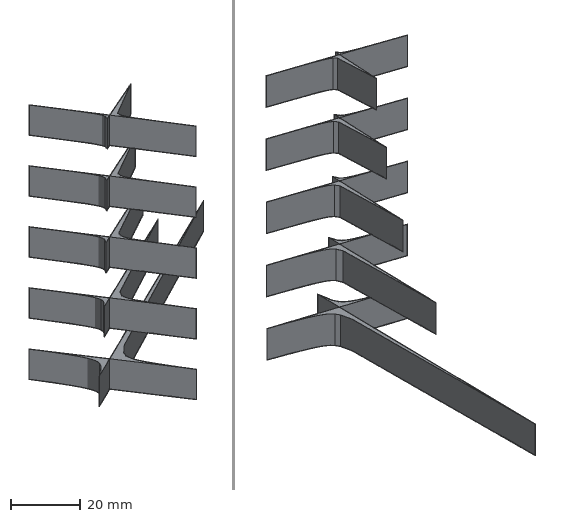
import cadquery as cq

body_count = 5
body_height = 10.0
pitch = 2 * body_height

sample_step = 1.0
steps_each_way = 25
spike_x = 0.1
base_strength = 10.0

neck_offset = 0.01


def hyperbola_points(strength, first_step, last_step):
    """Samples of the hyperbola, counted in steps from the spike, from left to right."""
    xs = [spike_x + step * sample_step for step in range(first_step, last_step + 1)]
    return [(x, strength / x) for x in xs]


def line_crossing(start_a, end_a, start_b, end_b):
    """Point where the line through start_a and end_a crosses the line through start_b and end_b."""
    ax, ay = end_a[0] - start_a[0], end_a[1] - start_a[1]
    bx, by = end_b[0] - start_b[0], end_b[1] - start_b[1]
    gap_x, gap_y = start_b[0] - start_a[0], start_b[1] - start_a[1]
    fraction = (gap_x * by - gap_y * bx) / (ax * by - ay * bx)
    return start_a[0] + fraction * ax, start_a[1] + fraction * ay


def hyperbola_body(number):
    """Two lobes between the hyperbola and the chord joining its ends, which meet near the pole."""
    strength = base_strength / number
    left_curve = hyperbola_points(strength, -steps_each_way, -1)
    right_curve = hyperbola_points(strength, 0, steps_each_way)

    cross_x, cross_y = line_crossing(left_curve[0], right_curve[-1], left_curve[-1], right_curve[0])
    neck_upper_left = (cross_x - neck_offset, cross_y + neck_offset)
    neck_lower_right = (cross_x + neck_offset, cross_y - neck_offset)

    outline = [neck_upper_left, *left_curve, neck_lower_right, *reversed(right_curve)]
    base = cq.Workplane("XY").workplane(offset=(number - 1) * pitch)
    return base.polyline(outline).close().extrude(body_height)


hyperbola_bodies = [hyperbola_body(number) for number in range(1, body_count + 1)]

result = cq.Compound.makeCompound([body.val() for body in hyperbola_bodies])